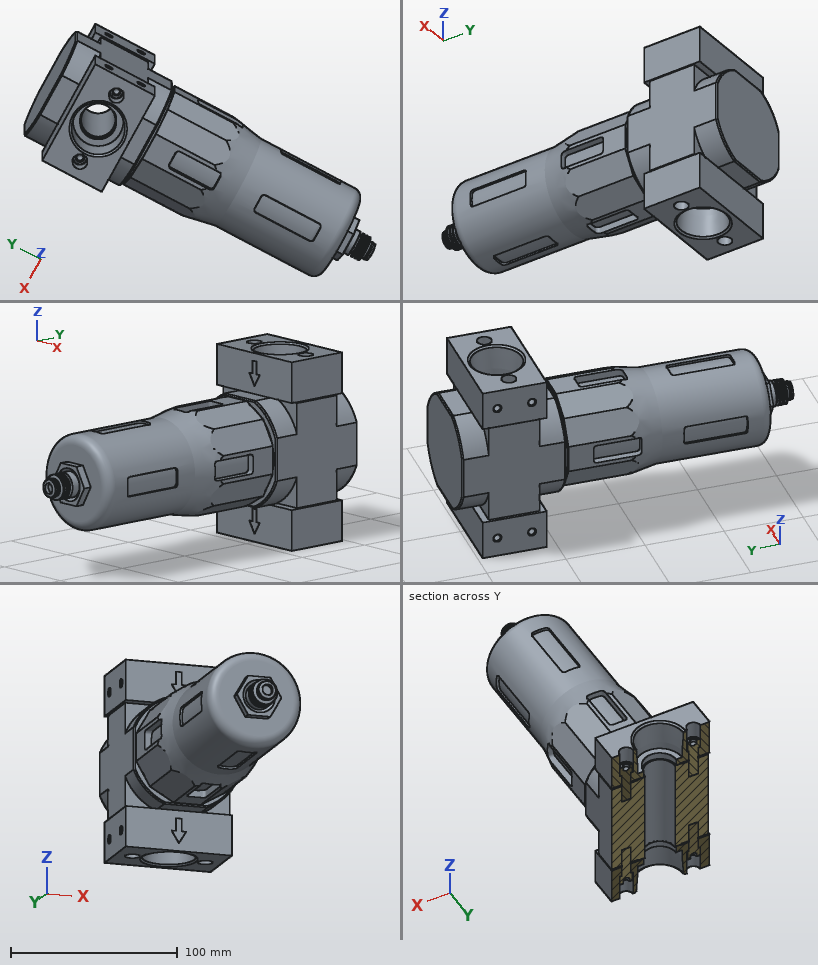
import cadquery as cq
import math


HOUSING_WIDTH = 66.2
HOUSING_HEIGHT = 65.8
HOUSING_LENGTH = 65.8
HOUSING_BARREL_DIA = 71.2
HOUSING_CHAMFER = 0.9
CORE_HEIGHT = 64.5
CORE_LENGTH = 32.2
NECK_DIA = 62.0
NECK_LENGTH = 1.8
AIR_PASSAGE_DIA = 20.4

BLOCK_WIDTH = 67.0
BLOCK_LENGTH = 40.5
PORT_FACE_SPACING = 116.0
BLOCK_OUTER_Z = PORT_FACE_SPACING / 2
BLOCK_INNER_Z = HOUSING_HEIGHT / 2
BLOCK_CENTRE_X = (HOUSING_WIDTH - BLOCK_WIDTH) / 2
PORT_CHAMFER_DIA = 34.6
PORT_MOUTH_DIA = 32.0
PORT_ROOT_DIA = 30.0
PORT_CHAMFER_DEPTH = 1.0
PORT_TAPER_DEPTH = 15.3
PORT_DEPTH = 20.4
PORT_HOLE_DIA = 22.0
SIDE_HOLE_DIA = 4.2
SIDE_HOLE_MOUTH_DIA = 5.3
SIDE_HOLE_DEPTH = 8.8
SIDE_HOLE_Z = 45.5
SIDE_HOLE_SPACING = 22.0
ARROW_SHAFT_WIDTH = 3.7
ARROW_HEAD_WIDTH = 9.2
ARROW_HEAD_LENGTH = 7.5
ARROW_LENGTH = 15.3
ARROW_DEPTH = 0.2

SCREW_SPACING = 46.0
SCREW_HEAD_DIA = 8.5
SCREW_HEAD_TOP_DIA = 7.7
SCREW_HEAD_HEIGHT = 6.5
SCREW_HEAD_Z = 47.1
SCREW_SHANK_DIA = 6.0
SCREW_END_Z = 19.7
SCREW_COUNTERBORE_DIA = 9.0
SOCKET_MOUTH_DIA = 5.0
SOCKET_DIA = 4.2
SOCKET_DEPTH = 2.6

GUARD_SIDES = 12
GUARD_ACROSS_FLATS = 64.5
GUARD_BACK_Y = -HOUSING_LENGTH / 2 - NECK_LENGTH
TAPER_START_Y = -74.5
TAPER_END_Y = -95.0
GUARD_END_Y = -165.0
SLEEVE_DIA = 59.0
GUARD_END_FILLET = 6.0
WINDOW_WIDTH = 12.0
WINDOW_FILLET = 2.0
GRIP_WINDOW_Y = (-81.1, -50.6)
SIGHT_WINDOW_Y = (-149.0, -108.7)

BOWL_DIA = 56.1
BOWL_END_FILLET = 5.5
BOWL_END_Y = -152.4

HEX_ACROSS_FLATS = 24.3
HEX_END_Y = -170.3
HEX_SINK_DIA = 20.2
HEX_SINK_DEPTH = 1.5
DRAIN_BODY_DIA = 16.0
DRAIN_BODY_END_Y = -174.3
DRAIN_NECK_DIA = 11.8
RIB_COUNT = 3
RIB_DIA = 15.5
RIB_ROOT_LENGTH = 1.8
RIB_CREST_LENGTH = 0.9
RIB_PITCH = 2.2
FIRST_RIB_Y = -176.7
TIP_NECK_DIA = 11.0
TIP_NECK_Y = -182.0
TIP_DIA = 11.6
TIP_Y = -183.5
TIP_COLLAR_END_Y = -184.5
TIP_SHOULDER_Y = -186.0
DRAIN_END_Y = -186.3
DRAIN_BORE_DIA = 6.5
DRAIN_BORE_DEPTH = 2.6

DRILL_POINT_HALF_ANGLE = 59


def cylinder_y(diameter, y_start, y_end):
    """Round bar on the Y axis between two Y positions."""
    low, high = sorted((y_start, y_end))
    return cq.Workplane("XZ", origin=(0, high, 0)).circle(diameter / 2).extrude(high - low)


def revolve_y(profile):
    """Turn a closed list of (radius, y) points about the Y axis."""
    return cq.Workplane("XY").polyline(profile).close().revolve(360, (0, 0), (0, 1))


def revolve_z(profile):
    """Turn a closed list of (radius, z) points about the Z axis."""
    return cq.Workplane("XZ").polyline(profile).close().revolve(360, (0, 0), (0, 1))


def polygon_y(sides, across_flats, y_start, y_end):
    """Regular prism on the Y axis with one flat facing +Z."""
    corner_radius = across_flats / 2 / math.cos(math.pi / sides)
    turn = math.pi / 2 + math.pi / sides
    points = [
        (
            corner_radius * math.cos(turn + 2 * math.pi * i / sides),
            corner_radius * math.sin(turn + 2 * math.pi * i / sides),
        )
        for i in range(sides)
    ]
    prism = cq.Workplane("XZ", origin=(0, y_end, 0)).polyline(points).close()
    return prism.extrude(y_end - y_start)


def drill_point(diameter):
    """Length of the conical end of a drilled hole."""
    return diameter / 2 / math.tan(math.radians(DRILL_POINT_HALF_ANGLE))


def both_ends(upper):
    """The upper solid and its copy turned half a turn about the X axis."""
    return [upper, upper.rotate((0, 0, 0), (1, 0, 0), 180)]


def make_housing():
    half_length = HOUSING_LENGTH / 2
    barrel = cylinder_y(HOUSING_BARREL_DIA, -half_length, half_length)
    envelope = cq.Workplane("XY").box(HOUSING_WIDTH, HOUSING_LENGTH, HOUSING_HEIGHT)
    barrel = barrel.intersect(envelope).faces("<Y or >Y").chamfer(HOUSING_CHAMFER)
    core = cq.Workplane("XY").box(HOUSING_WIDTH, CORE_LENGTH, CORE_HEIGHT)
    neck = cylinder_y(NECK_DIA, -half_length, GUARD_BACK_Y)
    passage = cq.Workplane("XY").circle(AIR_PASSAGE_DIA / 2).extrude(HOUSING_HEIGHT, both=True)
    housing = barrel.union(core).union(neck).cut(passage)
    for hole in screw_holes():
        housing = housing.cut(hole)
    return housing


def screw_holes():
    """Shank holes, each running from the screw end out through its block."""
    upper = (
        cq.Workplane("XY", origin=(0, 0, SCREW_END_Z))
        .rarray(SCREW_SPACING, 2.2, 2, 1)
        .circle(SCREW_SHANK_DIA / 2)
        .extrude(BLOCK_OUTER_Z - SCREW_END_Z)
    )
    return both_ends(upper)


def port_cutter():
    """Chamfered, tapered port of the upper block with a flat floor and a smaller hole below."""
    floor_z = BLOCK_OUTER_Z - PORT_DEPTH
    return revolve_z([
        (0, BLOCK_OUTER_Z),
        (PORT_CHAMFER_DIA / 2, BLOCK_OUTER_Z),
        (PORT_MOUTH_DIA / 2, BLOCK_OUTER_Z - PORT_CHAMFER_DEPTH),
        (PORT_ROOT_DIA / 2, BLOCK_OUTER_Z - PORT_TAPER_DEPTH),
        (PORT_ROOT_DIA / 2, floor_z),
        (PORT_HOLE_DIA / 2, floor_z),
        (PORT_HOLE_DIA / 2, BLOCK_INNER_Z),
        (0, BLOCK_INNER_Z),
    ])


def side_hole_cutter(y, z):
    """Blind drilled hole with a chamfered mouth in the -X face of a block."""
    face_x = BLOCK_CENTRE_X - BLOCK_WIDTH / 2
    radius = SIDE_HOLE_DIA / 2
    mouth_radius = SIDE_HOLE_MOUTH_DIA / 2
    profile = [
        (0, 0),
        (0, mouth_radius),
        (mouth_radius - radius, radius),
        (SIDE_HOLE_DEPTH, radius),
        (SIDE_HOLE_DEPTH + drill_point(SIDE_HOLE_DIA), 0),
    ]
    cutter = cq.Workplane("XY").polyline(profile).close().revolve(360, (0, 0), (1, 0))
    return cutter.translate((face_x, y, z))


def arrow_cutter(top_z):
    """Shallow arrow in the -Y face of a block, pointing toward -Z."""
    shoulder_z = top_z - ARROW_LENGTH + ARROW_HEAD_LENGTH
    points = [
        (-ARROW_SHAFT_WIDTH / 2, top_z),
        (ARROW_SHAFT_WIDTH / 2, top_z),
        (ARROW_SHAFT_WIDTH / 2, shoulder_z),
        (ARROW_HEAD_WIDTH / 2, shoulder_z),
        (0, top_z - ARROW_LENGTH),
        (-ARROW_HEAD_WIDTH / 2, shoulder_z),
        (-ARROW_SHAFT_WIDTH / 2, shoulder_z),
    ]
    face_origin = (BLOCK_CENTRE_X, -BLOCK_LENGTH / 2, 0)
    return cq.Workplane("XZ", origin=face_origin).polyline(points).close().extrude(-ARROW_DEPTH)


def make_port_blocks():
    height = BLOCK_OUTER_Z - BLOCK_INNER_Z
    centre_z = (BLOCK_OUTER_Z + BLOCK_INNER_Z) / 2
    upper = cq.Workplane("XY", origin=(BLOCK_CENTRE_X, 0, centre_z)).box(BLOCK_WIDTH, BLOCK_LENGTH, height)
    counterbores = (
        cq.Workplane("XY", origin=(0, 0, SCREW_HEAD_Z - SCREW_HEAD_HEIGHT))
        .rarray(SCREW_SPACING, 2.2, 2, 1)
        .circle(SCREW_COUNTERBORE_DIA / 2)
        .extrude(height)
    )
    upper = upper.cut(port_cutter()).cut(counterbores).cut(screw_holes()[0])
    for y in (-SIDE_HOLE_SPACING / 2, SIDE_HOLE_SPACING / 2):
        upper = upper.cut(side_hole_cutter(y, SIDE_HOLE_Z))
    upper_block, lower_block = both_ends(upper)
    arrow_top_z = centre_z + ARROW_LENGTH / 2
    upper_block = upper_block.cut(arrow_cutter(arrow_top_z))
    lower_block = lower_block.cut(arrow_cutter(arrow_top_z - 2 * centre_z))
    return [upper_block, lower_block]


def make_screws():
    """Four socket-head screws, two in each port block."""
    shoulder_z = SCREW_HEAD_Z - SCREW_HEAD_HEIGHT
    head_edge = (SCREW_HEAD_DIA - SCREW_HEAD_TOP_DIA) / 2
    socket_edge = (SOCKET_MOUTH_DIA - SOCKET_DIA) / 2
    socket_floor_z = SCREW_HEAD_Z - SOCKET_DEPTH
    screw = revolve_z([
        (0, SCREW_END_Z),
        (SCREW_SHANK_DIA / 2, SCREW_END_Z),
        (SCREW_SHANK_DIA / 2, shoulder_z),
        (SCREW_HEAD_DIA / 2, shoulder_z),
        (SCREW_HEAD_DIA / 2, SCREW_HEAD_Z - head_edge),
        (SCREW_HEAD_TOP_DIA / 2, SCREW_HEAD_Z),
        (SOCKET_MOUTH_DIA / 2, SCREW_HEAD_Z),
        (SOCKET_DIA / 2, SCREW_HEAD_Z - socket_edge),
        (SOCKET_DIA / 2, socket_floor_z),
        (0, socket_floor_z - drill_point(SOCKET_DIA)),
    ])
    screws = []
    for x in (-SCREW_SPACING / 2, SCREW_SPACING / 2):
        screws += both_ends(screw.translate((x, 0, 0)))
    return screws


def window_cutters(y_range):
    """Four rounded windows, one facing each of +Z, -X, -Z and +X."""
    low, high = y_range
    window = (
        cq.Workplane("XY", origin=(0, (low + high) / 2, 0))
        .rect(WINDOW_WIDTH, high - low)
        .extrude(GUARD_ACROSS_FLATS)
        .edges("|Z")
        .fillet(WINDOW_FILLET)
    )
    return [window.rotate((0, 0, 0), (0, 1, 0), 90 * i) for i in range(4)]


def make_bowl():
    bowl = cylinder_y(BOWL_DIA, GUARD_BACK_Y, BOWL_END_Y)
    return bowl.faces("<Y").edges().fillet(BOWL_END_FILLET)


def make_guard(bowl):
    corner_radius = GUARD_ACROSS_FLATS / 2 / math.cos(math.pi / GUARD_SIDES)
    sleeve_radius = SLEEVE_DIA / 2
    turned = revolve_y([
        (0, GUARD_BACK_Y),
        (corner_radius, GUARD_BACK_Y),
        (corner_radius, TAPER_START_Y),
        (sleeve_radius, TAPER_END_Y),
        (sleeve_radius, GUARD_END_Y),
        (0, GUARD_END_Y),
    ])
    turned = turned.faces("<Y").edges().fillet(GUARD_END_FILLET)
    guard = turned.intersect(polygon_y(GUARD_SIDES, GUARD_ACROSS_FLATS, GUARD_END_Y, GUARD_BACK_Y))
    for window in window_cutters(GRIP_WINDOW_Y) + window_cutters(SIGHT_WINDOW_Y):
        guard = guard.cut(window)
    return guard.cut(bowl)


def drain_rib(y):
    """Ring with sloping sides round the nipple, centred at the given Y."""
    return revolve_y([
        (0, y - RIB_ROOT_LENGTH / 2),
        (DRAIN_NECK_DIA / 2, y - RIB_ROOT_LENGTH / 2),
        (RIB_DIA / 2, y - RIB_CREST_LENGTH / 2),
        (RIB_DIA / 2, y + RIB_CREST_LENGTH / 2),
        (DRAIN_NECK_DIA / 2, y + RIB_ROOT_LENGTH / 2),
        (0, y + RIB_ROOT_LENGTH / 2),
    ])


def make_drain():
    """Hexagon and ribbed hose nipple in one piece, with a conical sink around the nipple root."""
    drain = polygon_y(6, HEX_ACROSS_FLATS, HEX_END_Y, GUARD_END_Y)
    sink = revolve_y([
        (DRAIN_BODY_DIA / 2, HEX_END_Y),
        (HEX_SINK_DIA / 2, HEX_END_Y),
        (DRAIN_BODY_DIA / 2, HEX_END_Y + HEX_SINK_DEPTH),
    ])
    nipple = revolve_y([
        (0, HEX_END_Y),
        (DRAIN_BODY_DIA / 2, HEX_END_Y),
        (DRAIN_BODY_DIA / 2, DRAIN_BODY_END_Y),
        (DRAIN_NECK_DIA / 2, DRAIN_BODY_END_Y),
        (DRAIN_NECK_DIA / 2, TIP_NECK_Y),
        (TIP_NECK_DIA / 2, TIP_NECK_Y),
        (TIP_NECK_DIA / 2, TIP_Y),
        (TIP_DIA / 2, TIP_Y),
        (TIP_DIA / 2, TIP_COLLAR_END_Y),
        (TIP_NECK_DIA / 2, TIP_COLLAR_END_Y),
        (TIP_NECK_DIA / 2, TIP_SHOULDER_Y),
        (DRAIN_BORE_DIA / 2, DRAIN_END_Y),
        (0, DRAIN_END_Y),
    ])
    drain = drain.cut(sink).union(nipple)
    for i in range(RIB_COUNT):
        drain = drain.union(drain_rib(FIRST_RIB_Y - i * RIB_PITCH))
    bore = cylinder_y(DRAIN_BORE_DIA, DRAIN_END_Y, DRAIN_END_Y + DRAIN_BORE_DEPTH)
    return drain.cut(bore)


housing = make_housing()
port_blocks = make_port_blocks()
screws = make_screws()
bowl = make_bowl()
guard = make_guard(bowl)
drain = make_drain()

bodies = [housing, *port_blocks, *screws, guard, bowl, drain]
result = cq.Compound.makeCompound([body.val() for body in bodies])